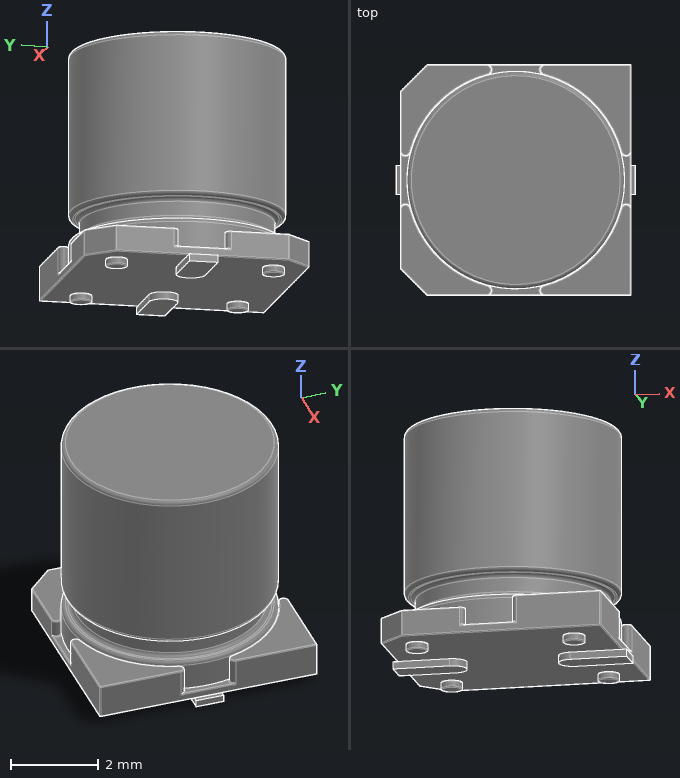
import cadquery as cq
import math

total_height = 5.5
tab_span = 5.5

base_width = 5.3
base_bottom = 0.17
slot_floor = 0.365
low_corner_top = 0.78
high_corner_top = 0.995
corner_chamfer = 0.615
post_round = 0.115
recess_gap = 0.008
base_edge_round = 0.02

can_radius = 5.0 / 2
neck_radius = 4.5 / 2
can_round = 0.1
lower_shoulder = 1.095
upper_shoulder = 1.63

tab_width = 0.67
tab_inner_end = 1.085
foot_diameter = 0.5
foot_offset = 1.85

half_base = base_width / 2
recess_radius = can_radius + recess_gap


def corner_post(side_x, side_y, z_top):
    """Corner block hollowed by the round recess, each tip one full round beside a slot."""
    round_y = half_base - post_round
    round_distance = recess_radius + post_round
    round_x = math.sqrt(round_distance**2 - round_y**2)
    tangent_ratio = recess_radius / round_distance
    tangent_x = round_x * tangent_ratio
    tangent_y = round_y * tangent_ratio
    tip = round_x - post_round
    recess_middle = recess_radius * math.sqrt(0.5)

    def at(x, y):
        return (side_x * x, side_y * y)

    post = (
        cq.Workplane("XY")
        .workplane(offset=base_bottom)
        .moveTo(*at(round_x, half_base))
        .lineTo(*at(half_base, half_base))
        .lineTo(*at(half_base, round_x))
        .threePointArc(at(round_y, tip), at(tangent_y, tangent_x))
        .threePointArc(at(recess_middle, recess_middle), at(tangent_x, tangent_y))
        .threePointArc(at(tip, round_y), at(round_x, half_base))
        .close()
        .extrude(z_top - base_bottom)
    )
    if side_x < 0:
        outer_side = ">Y" if side_y > 0 else "<Y"
        post = post.edges("|Z and <X").edges(outer_side).chamfer(corner_chamfer)
    return post


def make_base():
    """Base plate carrying low corner posts on -X and high ones on +X, all edges softened."""
    base = cq.Workplane("XY").workplane(offset=base_bottom).rect(base_width, base_width)
    base = base.extrude(slot_floor - base_bottom).edges("|Z and <X").chamfer(corner_chamfer)
    for side_y in (-1, 1):
        base = base.union(corner_post(-1, side_y, low_corner_top))
        base = base.union(corner_post(1, side_y, high_corner_top))
    return base.clean().edges().fillet(base_edge_round)


def make_can():
    """Turned can with a necked groove; it reaches down through the base plate."""
    profile = (
        cq.Workplane("XZ")
        .moveTo(0, base_bottom)
        .lineTo(0, total_height)
        .lineTo(can_radius - can_round, total_height)
        .radiusArc((can_radius, total_height - can_round), can_round)
        .lineTo(can_radius, upper_shoulder + can_round)
        .radiusArc((can_radius - can_round, upper_shoulder), can_round)
        .lineTo(neck_radius + can_round, upper_shoulder)
        .radiusArc((neck_radius, upper_shoulder - can_round), -can_round)
        .lineTo(neck_radius, lower_shoulder + can_round)
        .radiusArc((neck_radius + can_round, lower_shoulder), -can_round)
        .lineTo(can_radius - can_round, lower_shoulder)
        .radiusArc((can_radius, lower_shoulder - can_round), can_round)
        .lineTo(can_radius, base_bottom)
        .close()
    )
    return profile.revolve(360, (0, 0, 0), (0, 1, 0))


def solder_tab(side):
    """Flat tab reaching past the base, with a semicircular inner end."""
    outer = side * tab_span / 2
    round_start = side * (tab_inner_end + tab_width / 2)
    return (
        cq.Workplane("XY")
        .moveTo(outer, -tab_width / 2)
        .lineTo(round_start, -tab_width / 2)
        .threePointArc((side * tab_inner_end, 0), (round_start, tab_width / 2))
        .lineTo(outer, tab_width / 2)
        .close()
        .extrude(base_bottom)
    )


def make_feet():
    """Four round standoff feet with softened rims."""
    centres = cq.Workplane("XY").rect(2 * foot_offset, 2 * foot_offset, forConstruction=True).vertices()
    return centres.circle(foot_diameter / 2).extrude(base_bottom).edges().fillet(base_edge_round)


result = make_base().union(make_can()).union(make_feet())
for side in (-1, 1):
    result = result.union(solder_tab(side))